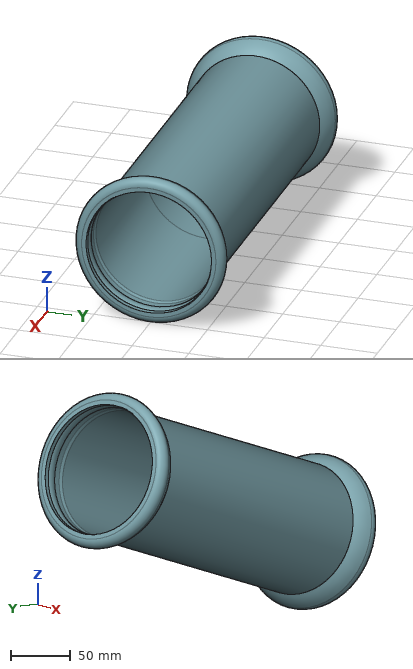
import cadquery as cq
import math

length = 310.0
tube_diameter = 112.8
bore_diameter = 108.8

bead_diameter = 132.5
bead_radius = 7.0
bead_width = 9.8
flare_end_depth = 23.5
flare_bulge = 1.1

socket_diameter = 110.7
socket_depth = 20.0
taper_end_depth = 23.5

seal_center_depth = 9.05
seal_width = 9.0
seal_height = 0.9


def bead_point(angle_degrees):
    """Depth and radius on the bead arc; 0 degrees is the crest, positive toward the tube."""
    angle = math.radians(angle_degrees)
    depth = bead_radius * (1 + math.sin(angle))
    radius = bead_diameter / 2 - bead_radius * (1 - math.cos(angle))
    return depth, radius


def half_sleeve():
    """Revolve one half, from its end face at -X to the middle plane."""
    tube_radius = tube_diameter / 2
    socket_radius = socket_diameter / 2
    bore_radius = bore_diameter / 2
    bead_start_angle = -90
    bead_end_angle = math.degrees(math.asin(bead_width / bead_radius - 1))
    bead_start = bead_point(bead_start_angle)
    bead_end = bead_point(bead_end_angle)

    run = flare_end_depth - bead_end[0]
    drop = bead_end[1] - tube_radius
    chord = math.hypot(run, drop)
    flare_middle = (
        (bead_end[0] + flare_end_depth) / 2 + flare_bulge * drop / chord,
        (bead_end[1] + tube_radius) / 2 + flare_bulge * run / chord,
    )

    profile = (
        cq.Workplane("XY")
        .moveTo(0, socket_radius)
        .lineTo(*bead_start)
        .threePointArc(bead_point((bead_start_angle + bead_end_angle) / 2), bead_end)
        .threePointArc(flare_middle, (flare_end_depth, tube_radius))
        .lineTo(length / 2, tube_radius)
        .lineTo(length / 2, bore_radius)
        .lineTo(taper_end_depth, bore_radius)
        .lineTo(socket_depth, socket_radius)
        .lineTo(seal_center_depth + seal_width / 2, socket_radius)
        .threePointArc(
            (seal_center_depth, socket_radius - seal_height),
            (seal_center_depth - seal_width / 2, socket_radius),
        )
        .close()
    )
    half = profile.revolve(360, (0, 0, 0), (1, 0, 0))
    return half.translate((-length / 2, 0, 0))


left_half = half_sleeve()
result = left_half.union(left_half.mirror("YZ")).clean()